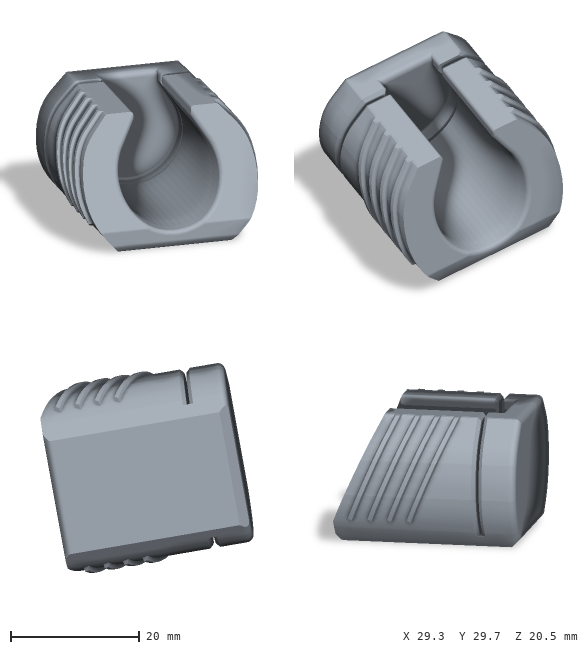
import cadquery as cq
import math

length = 29.33
height = 20.5
overall_width = 29.72
rib_height = 0.68
body_half_width = overall_width / 2 - rib_height

widest_z = 10.28
belly_radius = 14.85
underside_radius = 11.0
shoulder_radius = 8.92
underside_end_angle = -41.0
underside_start_angle = -7.5
shoulder_start_angle = 14.4
shoulder_end_angle = 43.0
top_half_width = 8.85
top_bevel_angle = 17.0

end_round = 1.07
end_bottom_chamfer = 1.5
open_end_chamfer_x = 0.8
open_end_chamfer_z = 1.13
slope_top_x = 21.7
slope_bottom_z = 3.63

bore_radius = 8.17
bore_z = 11.0
bore_start_x = 4.0
bore_end_round = 0.42
flare_angle = 32.0
throat_half_width = 4.7
throat_side_round = 0.5
throat_end_round = 1.0
bore_rim_round = 0.7

slot_start_x = 5.9
slot_width = 0.48
slot_floor_z = 1.9
slot_chamfer = 0.55
throat_corner_depth = 1.78

rib_count = 4
rib_pitch = 3.12
first_rib_top_x = 10.1
rib_crest_width = 0.7
rib_base_width = 1.2
rib_slant = 0.43
rib_foot_z = 4.25
rib_foot_angle = 35.0

slack = 2.97
margin = 0.03


def arc_point(center, radius, angle):
    return (
        center[0] + radius * math.cos(math.radians(angle)),
        center[1] + radius * math.sin(math.radians(angle)),
    )


def outline(growth):
    """Closed outer outline in the YZ plane, widened by growth on each side."""
    belly_center = (body_half_width + growth - belly_radius, widest_z)
    underside_center = arc_point(belly_center, belly_radius - underside_radius, underside_start_angle)
    shoulder_center = arc_point(belly_center, belly_radius - shoulder_radius, shoulder_start_angle)
    arcs = [
        (underside_center, underside_radius, underside_end_angle, underside_start_angle),
        (belly_center, belly_radius, underside_start_angle, shoulder_start_angle),
        (shoulder_center, shoulder_radius, shoulder_start_angle, shoulder_end_angle),
    ]
    flank_y, flank_z = arc_point(underside_center, underside_radius, underside_end_angle)
    bottom_y = flank_y + flank_z * math.tan(math.radians(underside_end_angle))
    half = cq.Workplane("YZ").lineTo(bottom_y, 0).lineTo(flank_y, flank_z)
    for center, radius, start, end in arcs:
        middle = arc_point(center, radius, (start + end) / 2)
        half = half.threePointArc(middle, arc_point(center, radius, end))

    flank_y, flank_z = arc_point(shoulder_center, shoulder_radius, shoulder_end_angle)
    flank_slope = math.tan(math.radians(shoulder_end_angle))
    top_y = flank_y - (height - flank_z) * flank_slope
    return half.lineTo(top_y, height).lineTo(0, height).mirrorY()


def bevel_cutter(growth):
    """Shallow wedges along X that bevel both long edges of the top face."""
    start_y = top_half_width + growth
    rise = slack * math.tan(math.radians(top_bevel_angle))
    wedge = (
        cq.Workplane("YZ", origin=(-length, 0, 0))
        .moveTo(start_y, height)
        .lineTo(start_y + slack, height - rise)
        .lineTo(start_y + slack, height)
        .close()
        .extrude(3 * length)
    )
    return wedge.union(wedge.mirror("XZ"))


def plain_body():
    """Outline extruded along X, with the closed end rounded and both lower end edges bevelled."""
    body = outline(0).extrude(length)
    body = body.faces("<X").edges().fillet(end_round)
    side_trim = (
        cq.Workplane("XZ")
        .moveTo(0, end_bottom_chamfer)
        .lineTo(end_bottom_chamfer, 0)
        .lineTo(length - open_end_chamfer_x, 0)
        .lineTo(length, open_end_chamfer_z)
        .lineTo(length, height)
        .lineTo(0, height)
        .close()
        .extrude(overall_width, both=True)
    )
    return body.intersect(side_trim)


def rib_band():
    """One grip rib: a drafted band wrapped around the outline, leaning along X and cut off at the foot."""
    lean = cq.Matrix([[1, 0, -rib_slant, rib_slant * height], [0, 1, 0, 0], [0, 0, 1, 0]])
    stations = [
        (-rib_base_width / 2, 0),
        (-rib_crest_width / 2, rib_height),
        (rib_crest_width / 2, rib_height),
        (rib_base_width / 2, 0),
    ]
    wires = [outline(growth).wires().val().translate((x, 0, 0)) for x, growth in stations]
    band = cq.Solid.makeLoft(wires, True).transformGeometry(lean)
    foot_x = rib_slant * (height - rib_foot_z)
    foot_cutter = (
        cq.Workplane("XY")
        .box(height, 2 * overall_width, height)
        .translate((0, 0, -height / 2))
        .rotate((0, 0, 0), (0, 1, 0), -rib_foot_angle)
        .translate((foot_x, 0, rib_foot_z))
    )
    return cq.Workplane(band).cut(foot_cutter).cut(bevel_cutter(rib_height))


def add_ribs(body):
    band = rib_band()
    for i in range(rib_count):
        body = body.union(band.translate((first_rib_top_x + i * rib_pitch, 0, 0)))
    return body


def cut_slope(body):
    wedge = (
        cq.Workplane("XZ")
        .moveTo(slope_top_x, height)
        .lineTo(length, slope_bottom_z)
        .lineTo(length + slack, slope_bottom_z)
        .lineTo(length + slack, height + slack)
        .lineTo(slope_top_x, height + slack)
        .close()
        .extrude(overall_width, both=True)
    )
    return body.cut(wedge)


def cut_slot(body):
    """Cross slot, with its edges chamfered around both outer sides."""
    slot = cq.Workplane("XY").box(slot_width, 2 * overall_width, height, centered=(False, True, False))
    body = body.cut(slot.translate((slot_start_x, 0, slot_floor_z)))
    for face_x in (slot_start_x, slot_start_x + slot_width):
        zone = cq.selectors.BoxSelector(
            (face_x - margin, -overall_width, slot_floor_z + margin),
            (face_x + margin, overall_width, height - margin),
        )
        body = body.edges(zone).chamfer(slot_chamfer)
    return body


def cut_bore(body):
    """Blind bore with tangent flares rising to the parallel walls of an open throat."""
    angle = math.radians(flare_angle)
    tangent_y = bore_radius * math.cos(angle)
    tangent_z = bore_z + bore_radius * math.sin(angle)
    throat_z = tangent_z + (tangent_y - throat_half_width) / math.tan(angle)
    cutter = (
        cq.Workplane("YZ", origin=(bore_start_x, 0, 0))
        .moveTo(-throat_half_width, height + slack)
        .lineTo(-throat_half_width, throat_z)
        .lineTo(-tangent_y, tangent_z)
        .threePointArc((0, bore_z - bore_radius), (tangent_y, tangent_z))
        .lineTo(throat_half_width, throat_z)
        .lineTo(throat_half_width, height + slack)
        .close()
        .extrude(length)
    )
    end_edges = cq.selectors.BoxSelector(
        (bore_start_x - margin, -bore_radius, 0),
        (bore_start_x + margin, bore_radius, throat_z),
    )
    cutter = cutter.edges(end_edges).fillet(bore_end_round)
    rim_edges = cq.selectors.BoxSelector(
        (slope_top_x + bore_rim_round, -bore_radius - margin, 0),
        (length + margin, bore_radius + margin, throat_z - margin),
    )
    return body.cut(cutter).edges(rim_edges).fillet(bore_rim_round)


def chamfer_throat_corners(body):
    """Slot chamfers across the top face and down the throat walls; one of the four corners stays sharp."""
    right_x = slot_start_x + slot_width
    for face_x, side in ((slot_start_x, -1), (right_x, -1), (right_x, 1)):
        inner_y = side * (throat_half_width - margin)
        outer_y = side * top_half_width
        zone = cq.selectors.BoxSelector(
            (face_x - margin, min(inner_y, outer_y), height - throat_corner_depth),
            (face_x + margin, max(inner_y, outer_y), height + margin),
        )
        body = body.edges(zone).chamfer(slot_chamfer)
    return body


def top_edges(start_x, end_x):
    """Selector for throat edges in the top face centred between two X positions."""
    half_width = throat_half_width + margin
    return cq.selectors.BoxSelector(
        (start_x, -half_width, height - margin), (end_x, half_width, height + margin)
    )


def round_throat(body):
    body = body.edges(top_edges(bore_start_x + margin, slope_top_x - margin)).fillet(throat_side_round)
    return body.edges(top_edges(bore_start_x - margin, bore_start_x + margin)).fillet(throat_end_round)


result = plain_body()
result = cut_slot(result)
result = result.cut(bevel_cutter(0))
result = add_ribs(result)
result = cut_slope(result)
result = cut_bore(result)
result = chamfer_throat_corners(result)
result = round_throat(result)